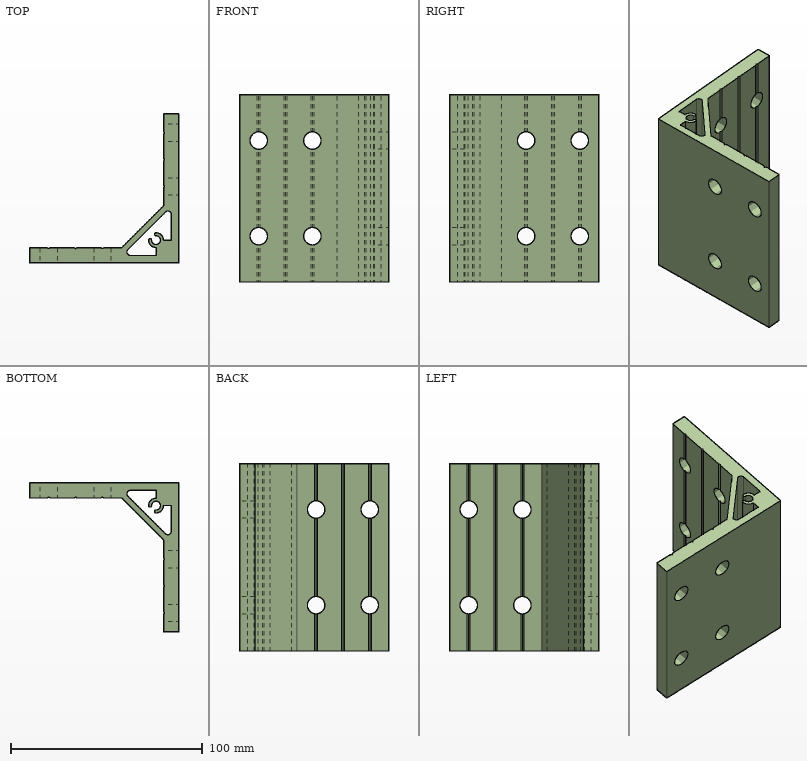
import cadquery as cq
import math

leg_length = 78.0
height = 98.0
leg_thickness = 8.0
edge_radius = 0.3

web_reach = 29.9
web_thickness = 3.0
web_root_radius = 0.5

hollow_wall = leg_thickness / 2
corner_block = 12.0
hollow_tip_radius = 1.8

channel_inner_radius = 2.3
channel_outer_radius = corner_block - leg_thickness

groove_start = 10.0
groove_pitch = 14.0
groove_count = 3
groove_half_width = 0.8
groove_depth = 0.5

hole_diameter = 9.0
hole_spacing_z = 50.0

groove_offsets = [groove_start + i * groove_pitch for i in range(groove_count)]
hole_offsets = [groove_offsets[0], groove_offsets[-1]]
hole_heights = [(height - hole_spacing_z) / 2, (height + hole_spacing_z) / 2]


def prism(points):
    """Full-height prism over a closed outline in the XY plane."""
    return cq.Workplane("XY").polyline(points).close().extrude(height)


def cylinder(x, y, radius):
    """Full-height cylinder parallel to Z."""
    return cq.Workplane("XY").center(x, y).circle(radius).extrude(height)


def leg_body():
    """Both legs and the solid triangle under the diagonal web, with all long edges rounded."""
    outline = prism([
        (0, 0),
        (0, leg_length),
        (-leg_thickness, leg_length),
        (-leg_thickness, web_reach),
        (-web_reach, leg_thickness),
        (-leg_length, leg_thickness),
        (-leg_length, 0),
    ])
    body = outline.edges("|Z and (<X or >X or >Y)").fillet(edge_radius)
    web_face = body.faces(cq.selectors.ParallelDirSelector(cq.Vector(-1, 1, 0)))
    return web_face.edges("|Z").fillet(web_root_radius)


def hollow():
    """Triangular cavity between the web and the legs, stepped around the corner block."""
    web_outer_sum = web_reach + leg_thickness
    web_inner_sum = web_outer_sum - web_thickness * math.sqrt(2)
    tip = web_inner_sum - hollow_wall
    triangle = prism([(-hollow_wall, hollow_wall), (-hollow_wall, tip), (-tip, hollow_wall)])
    triangle = triangle.edges("|Z and (<X or >Y)").fillet(hollow_tip_radius)
    block = prism([(0, 0), (0, corner_block), (-corner_block, corner_block), (-corner_block, 0)])
    return triangle.cut(block)


def screw_channel():
    """Round-lipped C-shaped wall, open toward the web, that a screw threads into."""
    center_x, center_y = -corner_block, corner_block
    lip_radius = (channel_outer_radius - channel_inner_radius) / 2
    mid_radius = channel_inner_radius + lip_radius
    opening = (
        cq.Workplane("XY")
        .rect(channel_outer_radius, channel_outer_radius, centered=False)
        .extrude(height)
        .translate((center_x - channel_outer_radius, center_y, 0))
    )
    wall = cylinder(center_x, center_y, channel_outer_radius).cut(opening)
    wall = wall.union(cylinder(center_x - mid_radius, center_y, lip_radius))
    return wall.union(cylinder(center_x, center_y + mid_radius, lip_radius))


def x_leg_groove(offset):
    """V groove cutter for the leg along X."""
    x = offset - leg_length
    return prism([
        (x - groove_half_width, leg_thickness),
        (x, leg_thickness - groove_depth),
        (x + groove_half_width, leg_thickness),
    ])


def y_leg_groove(offset):
    """V groove cutter for the leg along Y."""
    y = leg_length - offset
    return prism([
        (-leg_thickness, y - groove_half_width),
        (groove_depth - leg_thickness, y),
        (-leg_thickness, y + groove_half_width),
    ])


def x_leg_holes():
    """Bolt hole cutters through the leg along X."""
    centers = [(offset - leg_length, z) for offset in hole_offsets for z in hole_heights]
    return cq.Workplane("XZ").pushPoints(centers).circle(hole_diameter / 2).extrude(-leg_thickness)


def y_leg_holes():
    """Bolt hole cutters through the leg along Y."""
    centers = [(leg_length - offset, z) for offset in hole_offsets for z in hole_heights]
    return cq.Workplane("YZ").pushPoints(centers).circle(hole_diameter / 2).extrude(-leg_thickness)


bracket = leg_body().cut(hollow()).union(screw_channel())
bracket = bracket.cut(cylinder(-corner_block, corner_block, channel_inner_radius))
for groove_offset in groove_offsets:
    bracket = bracket.cut(x_leg_groove(groove_offset))
    bracket = bracket.cut(y_leg_groove(groove_offset))
result = bracket.cut(x_leg_holes()).cut(y_leg_holes())